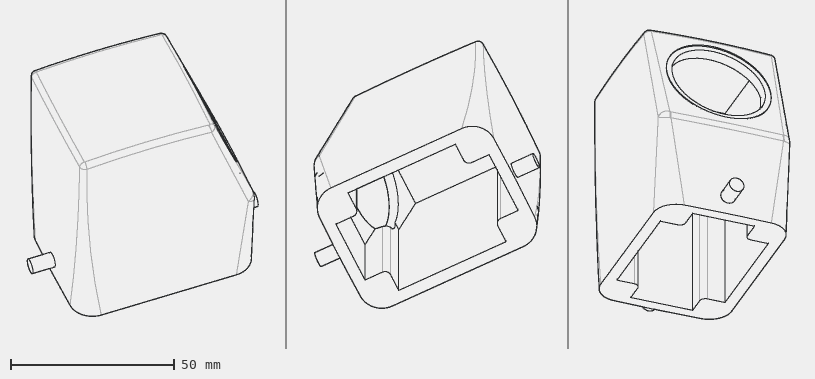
import cadquery as cq
import math

WIDTH = 43.0
DEPTH = 59.65
HEIGHT = 71.9
HALF_WIDTH = WIDTH / 2
DRAFT = 0.8 / HEIGHT
END_CROWN_RADIUS = 593.6
LOFT_TOP = HEIGHT + 0.75

SLOPE_START = 32.05
SLOPE_ANGLE = math.radians(19.7)
BEND_RADIUS = 7.4

BASE_CORNER = 7.4
MID_CORNER = 2.75
MID_CORNER_HEIGHT = 39.2
TOP_CORNER = 1.8
SLOPE_CORNER = 3.0

TOP_CROWN_ALONG_Y = 264.15
TOP_CROWN_ALONG_X = 445.2
TOP_CROWN_Y = -6.45
TOP_EDGE_RADIUS = 1.7

WALL = 3.8
CAVITY_HALF_WIDTH = HALF_WIDTH - WALL
CAVITY_HALF_LENGTH = 18.25
NECK_HALF_WIDTH = 10.2
NECK_CORNER = 1.85

ENTRY_RADIUS = 15.2
ENTRY_DEPTH = 10.4
ENTRY_Y = 22.3
SPOTFACE_RADIUS = 17.1
SPOTFACE_DEPTH = 0.45

PIN_RADIUS = 2.4
PIN_HEIGHT = 6.2
PIN_SPAN = 74.2

PICK_MARGIN = 0.4


def wall_reach(z):
    """Distance from the middle plane to the drafted end wall at height z."""
    return DEPTH / 2 - DRAFT * z


def half_outline(z, radius, reach):
    """Horizontal outline at height z, from Y = 0 to a crowned end with rounded corners."""
    corner_x = HALF_WIDTH - radius
    crown_center_y = reach - END_CROWN_RADIUS
    corner_offset = END_CROWN_RADIUS - radius
    tangent_angle = math.asin(corner_x / corner_offset)
    middle_angle = (tangent_angle + math.pi / 2) / 2
    corner_y = crown_center_y + corner_offset * math.cos(tangent_angle)

    def on_corner(angle):
        return corner_x + radius * math.sin(angle), corner_y + radius * math.cos(angle)

    corner_mid_x, corner_mid_y = on_corner(middle_angle)
    corner_end_x, corner_end_y = on_corner(tangent_angle)
    outline = (
        cq.Workplane("XY", origin=(0, 0, z))
        .moveTo(HALF_WIDTH, 0)
        .lineTo(HALF_WIDTH, corner_y)
        .threePointArc((corner_mid_x, corner_mid_y), (corner_end_x, corner_end_y))
        .threePointArc((0, reach), (-corner_end_x, corner_end_y))
        .threePointArc((-corner_mid_x, corner_mid_y), (-HALF_WIDTH, corner_y))
        .lineTo(-HALF_WIDTH, 0)
        .close()
    )
    return outline.val()


def front_half():
    """Half on the -Y side, lofted smoothly up its drafted wall."""
    stations = (
        (0, BASE_CORNER),
        (MID_CORNER_HEIGHT, MID_CORNER),
        (LOFT_TOP, TOP_CORNER),
    )
    outlines = [half_outline(z, radius, wall_reach(z)) for z, radius in stations]
    return cq.Workplane(cq.Solid.makeLoft(outlines)).rotate((0, 0, 0), (0, 0, 1), 180)


def back_half():
    """Half on the +Y side: a drafted wall, then the slope."""
    slope_run = (LOFT_TOP - SLOPE_START) * math.tan(SLOPE_ANGLE)
    stations = (
        (0, BASE_CORNER, wall_reach(0)),
        (SLOPE_START, SLOPE_CORNER, wall_reach(SLOPE_START)),
        (LOFT_TOP, TOP_CORNER, wall_reach(SLOPE_START) - slope_run),
    )
    outlines = [half_outline(*station) for station in stations]
    return cq.Workplane(cq.Solid.makeLoft(outlines, True))


def crown_envelope():
    """Everything below the top surface, which is crowned along both X and Y."""
    reach = DEPTH
    sag = TOP_CROWN_ALONG_Y - math.sqrt(TOP_CROWN_ALONG_Y**2 - reach**2)
    profile = (
        cq.Workplane("YZ")
        .moveTo(TOP_CROWN_Y - reach, -HEIGHT)
        .lineTo(TOP_CROWN_Y - reach, HEIGHT - sag)
        .threePointArc((TOP_CROWN_Y, HEIGHT), (TOP_CROWN_Y + reach, HEIGHT - sag))
        .lineTo(TOP_CROWN_Y + reach, -HEIGHT)
        .close()
    )
    axis_z = HEIGHT - TOP_CROWN_ALONG_X
    return profile.revolve(360, (0, axis_z, 0), (1, axis_z, 0))


def body():
    """Solid hood with its slope bend and top edges rounded."""
    solid = front_half().union(back_half()).intersect(crown_envelope()).clean()
    bend_zone = cq.selectors.BoxSelector(
        (-WIDTH, 0, SLOPE_START - PICK_MARGIN),
        (WIDTH, DEPTH, SLOPE_START + PICK_MARGIN),
    )
    solid = solid.edges(bend_zone).fillet(BEND_RADIUS)
    return solid.faces(">Z").edges().fillet(TOP_EDGE_RADIUS)


def cavity():
    """Open-bottomed hollow: a wide middle with narrow necks, under a roof that follows the slope."""
    neck_half_length = DEPTH / 2 - WALL
    plan = (
        cq.Workplane("XY")
        .rect(2 * CAVITY_HALF_WIDTH, 2 * CAVITY_HALF_LENGTH)
        .extrude(HEIGHT)
        .union(cq.Workplane("XY").rect(2 * NECK_HALF_WIDTH, 2 * neck_half_length).extrude(HEIGHT))
    )
    neck_mouths = cq.selectors.BoxSelector(
        (-NECK_HALF_WIDTH - PICK_MARGIN, -CAVITY_HALF_LENGTH - PICK_MARGIN, 0),
        (NECK_HALF_WIDTH + PICK_MARGIN, CAVITY_HALF_LENGTH + PICK_MARGIN, HEIGHT),
    )
    plan = plan.edges("|Z").edges(neck_mouths).fillet(NECK_CORNER)

    roof_z = HEIGHT - WALL
    slope_shift = WALL / math.cos(SLOPE_ANGLE)

    def inner_slope_y(z):
        return wall_reach(SLOPE_START) - (z - SLOPE_START) * math.tan(SLOPE_ANGLE) - slope_shift

    side_profile = (
        cq.Workplane("YZ")
        .polyline([
            (-DEPTH / 2, 0),
            (inner_slope_y(0), 0),
            (inner_slope_y(roof_z), roof_z),
            (-DEPTH / 2, roof_z),
        ])
        .close()
        .extrude(HALF_WIDTH, both=True)
    )
    return plan.intersect(side_profile)


def cable_entry():
    """Round opening square to the slope, with a shallow spotface around it."""
    entry_z = SLOPE_START + (wall_reach(SLOPE_START) - ENTRY_Y) / math.tan(SLOPE_ANGLE)
    outward = (0, math.cos(SLOPE_ANGLE), math.sin(SLOPE_ANGLE))
    face = cq.Workplane(cq.Plane((0, ENTRY_Y, entry_z), (1, 0, 0), outward))
    opening = face.circle(ENTRY_RADIUS).extrude(-ENTRY_DEPTH)
    spotface = face.workplane(offset=-SPOTFACE_DEPTH).circle(SPOTFACE_RADIUS).extrude(WALL)
    return opening.union(spotface)


def locking_pin(side):
    """Pin standing out of one end wall; side is +1 for +Y and -1 for -Y."""
    root = DEPTH / 2 - WALL / 2
    return (
        cq.Workplane("XZ", origin=(0, side * root, PIN_HEIGHT))
        .circle(PIN_RADIUS)
        .extrude(-side * (PIN_SPAN / 2 - root))
    )


result = body().cut(cavity()).cut(cable_entry())
for side in (1, -1):
    result = result.union(locking_pin(side))